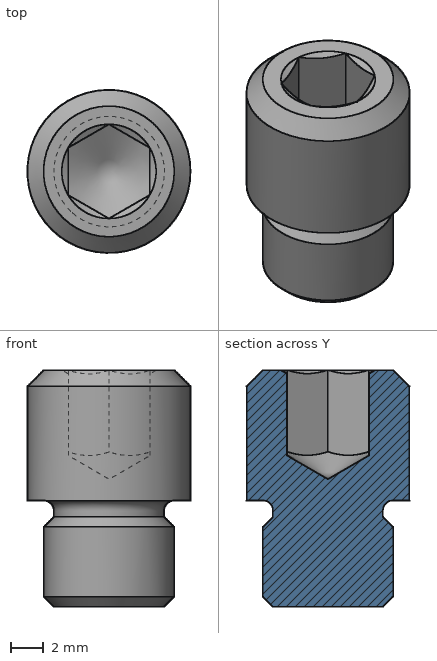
import cadquery as cq
import math

total_height = 14.5
head_diameter = 10.0
head_height = 8.0
head_chamfer = 1.0
shank_diameter = 8.0

neck_diameter = 6.77
neck_fillet = 0.6
undercut_height = 1.61

socket_across_flats = 5.0
socket_depth = 5.0
socket_cone_angle = 120.0
countersink_angle = 120.0

head_radius = head_diameter / 2
shank_radius = shank_diameter / 2
neck_radius = neck_diameter / 2
head_bottom = total_height - head_height
shank_chamfer = shank_radius - neck_radius
undercut_bottom = head_bottom - undercut_height
socket_corner_radius = socket_across_flats / math.sqrt(3)


def make_body():
    """Revolve the half outline of the head, neck and shank."""
    fillet_center_x = neck_radius + neck_fillet
    fillet_center_z = head_bottom - neck_fillet
    arc_offset = neck_fillet * math.sqrt(0.5)
    return (
        cq.Workplane("XZ")
        .moveTo(0, 0)
        .lineTo(shank_radius - shank_chamfer, 0)
        .lineTo(shank_radius, shank_chamfer)
        .lineTo(shank_radius, undercut_bottom)
        .lineTo(neck_radius, undercut_bottom + shank_chamfer)
        .lineTo(neck_radius, fillet_center_z)
        .threePointArc(
            (fillet_center_x - arc_offset, fillet_center_z + arc_offset),
            (fillet_center_x, head_bottom),
        )
        .lineTo(head_radius, head_bottom)
        .lineTo(head_radius, total_height - head_chamfer)
        .lineTo(head_radius - head_chamfer, total_height)
        .lineTo(0, total_height)
        .close()
        .revolve(360, (0, 0), (0, 1))
    )


def make_cone(base_z, included_angle):
    """Cone pointing down, with the socket's corner radius at base_z."""
    depth = socket_corner_radius / math.tan(math.radians(included_angle / 2))
    return (
        cq.Workplane("XZ")
        .moveTo(0, base_z)
        .lineTo(socket_corner_radius, base_z)
        .lineTo(0, base_z - depth)
        .close()
        .revolve(360, (0, 0), (0, 1))
    )


def make_socket():
    """Hexagonal hole with a conical floor and a countersunk entry."""
    hexagon = (
        cq.Workplane("XY")
        .workplane(offset=head_bottom)
        .polygon(6, 2 * socket_corner_radius)
        .extrude(head_height)
        .rotate((0, 0, 0), (0, 0, 1), 90)
    )
    socket_floor = total_height - socket_depth
    drilled_shape = (
        cq.Workplane("XY")
        .workplane(offset=socket_floor)
        .circle(socket_corner_radius)
        .extrude(socket_depth)
        .union(make_cone(socket_floor, socket_cone_angle))
    )
    countersink = make_cone(total_height, countersink_angle)
    return hexagon.intersect(drilled_shape).union(countersink)


result = make_body().cut(make_socket())